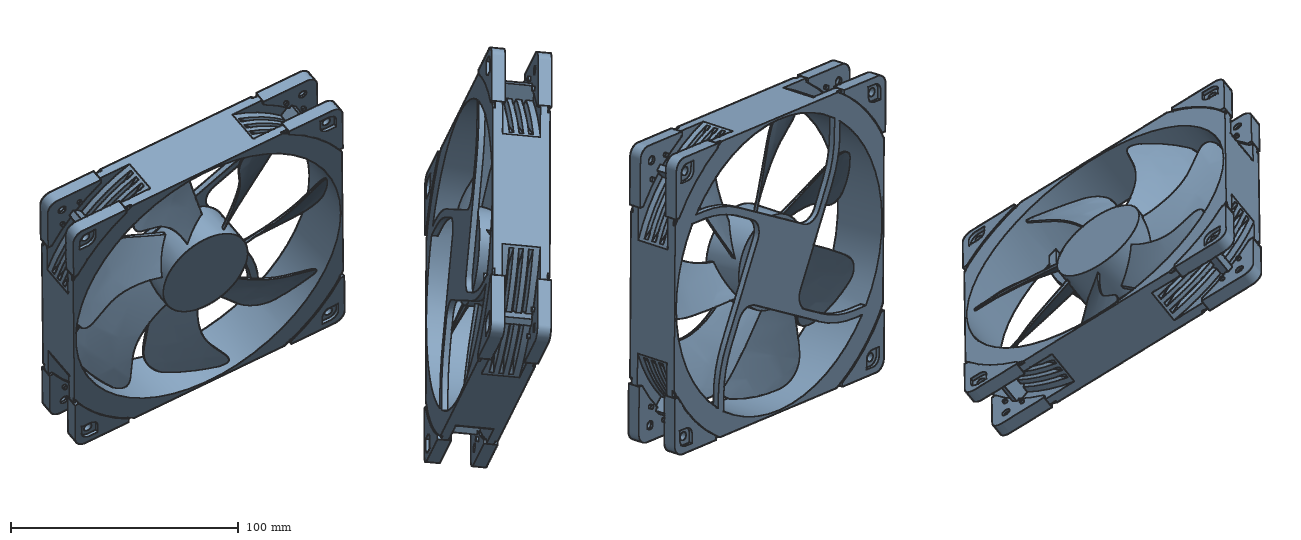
import cadquery as cq
import math

PART_TILT = 0.5
FRAME_HALF_DEPTH = 12.9
FRAME_HALF_SIDE = 70.0
BORE_RADIUS = 138.0 / 2

FLANGE_INNER_X = 8.5
DUCT_RADIUS = 75.0
GROOVE_COUNT = 3
GROOVE_PITCH = 4.4
GROOVE_WIDTH = 2.0
GROOVE_DEPTH = 2.8
GROOVE_END_DISTANCE = 69.1
WEB_END_RADIUS = 82.0
WEB_THICKNESS = 3.1

SPIDER_THICKNESS = 2.8
PLATE_HALF_SIDE = 20.0
PLATE_ANGLE = 25.4
SPOKE_OFFSET = 40.3
SPOKE_WIDTH = 3.7
SPOKE_END = 60.9
SPOKE_BEND_RADIUS = 53.8
NOTCH_RADIUS = 7.8

PAD_HALF_DEPTH = 27.0 / 2
PAD_HALF_SIDE = 70.2
PAD_START = 42.3
PAD_CORNER_RADIUS = 5.4
PAD_ARC_RADIUS = 80.3
PAD_INNER_X = 7.4
PAD_EDGE_WALL = 1.3
FLANGE_RECESS_X = 11.9
SCREW_OFFSET = 62.7
SCREW_DIAMETER = 4.0
EYE_SIDE = 8.4
STUD_SPACING = 8.9
STUD_DIAMETER = 2.0
STUD_LENGTH = 1.1

BLADE_COUNT = 7
HUB_RADIUS = 44.0 / 2
HUB_FRONT_X = -8.5
HUB_BACK_X = 10.6
BLADE_MID_X = 1.7
BLADE_SECTIONS = [
    (18.4, -4.5, 31.1, 40.0, 1.3),
    (42.5, -0.7, 42.5, 31.0, 1.0),
    (70.8, 5.7, 56.6, 20.0, 0.7),
]


def slab(x_start, x_end):
    """Workplane across the fan axis at x_start, with the thickness up to x_end."""
    return cq.Workplane("YZ").workplane(offset=x_start), x_end - x_start


def disc(radius, x_start, x_end):
    plane, depth = slab(x_start, x_end)
    return plane.circle(radius).extrude(depth)


def block(low, high, x_start, x_end):
    """Square block whose Y and Z both run from low to high."""
    plane, depth = slab(x_start, x_end)
    return plane.center((low + high) / 2, (low + high) / 2).rect(high - low, high - low).extrude(depth)


def about_axis(body, angle):
    return body.rotate((0, 0, 0), (1, 0, 0), angle)


def turn(point, angle):
    c = math.cos(math.radians(angle))
    s = math.sin(math.radians(angle))
    return (point[0] * c - point[1] * s, point[0] * s + point[1] * c)


def plate_line_z(y, inset):
    """Z on the line parallel to the plate side, moved inwards by inset, at a given Y."""
    c = math.cos(math.radians(PLATE_ANGLE))
    s = math.sin(math.radians(PLATE_ANGLE))
    return (-y * c - (PLATE_HALF_SIDE - inset)) / s


def spider_arm():
    """Corners and rounding radii of one quarter of the spider, as (point, radius)."""
    outer_y = -SPOKE_OFFSET
    inner_y = -SPOKE_OFFSET + SPOKE_WIDTH
    notch = turn((-PLATE_HALF_SIDE + SPOKE_WIDTH, PLATE_HALF_SIDE), PLATE_ANGLE)
    return [
        (notch, NOTCH_RADIUS),
        ((inner_y, plate_line_z(inner_y, SPOKE_WIDTH)), SPOKE_BEND_RADIUS - SPOKE_WIDTH),
        ((inner_y, SPOKE_END), 0),
        ((outer_y, SPOKE_END), 0),
        ((outer_y, plate_line_z(outer_y, 0)), SPOKE_BEND_RADIUS),
    ]


def rounded_outline(plane, corners):
    """Closed outline through the corners, with a tangent arc wherever a corner has a radius."""
    path = None
    for i, (corner, radius) in enumerate(corners):
        here = cq.Vector(*corner)
        back = (cq.Vector(*corners[i - 1][0]) - here).normalized()
        ahead = (cq.Vector(*corners[(i + 1) % len(corners)][0]) - here).normalized()
        half_angle = back.getAngle(ahead) / 2
        setback = radius / math.tan(half_angle)
        start = here + back * setback
        path = plane.moveTo(start.x, start.y) if path is None else path.lineTo(start.x, start.y)
        if radius:
            end = here + ahead * setback
            bisector = (back + ahead).normalized()
            middle = here + bisector * (radius / math.sin(half_angle) - radius)
            path = path.threePointArc((middle.x, middle.y), (end.x, end.y))
    return path.close()


def make_spider():
    corners = []
    for quarter in range(4):
        corners += [(turn(point, 90 * quarter), radius) for point, radius in spider_arm()]
    plane, depth = slab(-FRAME_HALF_DEPTH, -FRAME_HALF_DEPTH + SPIDER_THICKNESS)
    return rounded_outline(plane, corners).extrude(depth)


def make_groove(x):
    """Ring of V section in the outside of the duct, kept only near the four corners."""
    corners = [
        (x - GROOVE_WIDTH / 2, DUCT_RADIUS),
        (x, DUCT_RADIUS - GROOVE_DEPTH),
        (x + GROOVE_WIDTH / 2, DUCT_RADIUS),
    ]
    ring = cq.Workplane("XY").polyline(corners).close().revolve(360, (0, 0, 0), (1, 0, 0))
    plain_core = cq.Workplane("XY").box(2 * FLANGE_INNER_X, 2 * GROOVE_END_DISTANCE, 2 * GROOVE_END_DISTANCE)
    return ring.cut(about_axis(plain_core, 45))


def make_frame():
    depth = FRAME_HALF_DEPTH
    frame = cq.Workplane("XY").box(2 * depth, 2 * FRAME_HALF_SIDE, 2 * FRAME_HALF_SIDE)
    frame = frame.edges("|X").fillet(PAD_CORNER_RADIUS)
    duct = disc(DUCT_RADIUS, -depth, depth)
    for i in range(GROOVE_COUNT):
        duct = duct.cut(make_groove((i - (GROOVE_COUNT - 1) / 2) * GROOVE_PITCH))
    frame_side = 2 * FRAME_HALF_SIDE
    gap = cq.Workplane("XY").box(2 * FLANGE_INNER_X, frame_side, frame_side).cut(duct)
    web_span = 2 * WEB_END_RADIUS
    web = cq.Workplane("XY").box(2 * FLANGE_INNER_X, web_span, WEB_THICKNESS)
    for angle in (45, 135):
        gap = gap.cut(about_axis(web, angle))
    frame = frame.cut(gap)
    recess = cq.Workplane("XY").box(2 * depth, frame_side, frame_side).cut(disc(PAD_ARC_RADIUS, -depth, depth))
    recess = recess.cut(cq.Workplane("XY").box(2 * FLANGE_RECESS_X, frame_side, frame_side))
    frame = frame.cut(recess)
    frame = frame.cut(disc(BORE_RADIUS, -depth, depth)).union(make_spider())
    screws = slab(-depth, depth)
    holes = screws[0].rect(2 * SCREW_OFFSET, 2 * SCREW_OFFSET, forConstruction=True).vertices()
    return frame.cut(holes.circle(SCREW_DIAMETER / 2).extrude(screws[1]))


def make_pad():
    """Pad of the +X, +Y, +Z corner: a sleeve around the end of the flange."""
    pad = block(PAD_START, PAD_HALF_SIDE, PAD_INNER_X, PAD_HALF_DEPTH)
    pad = pad.edges("|X and >(0,1,1)").fillet(PAD_CORNER_RADIUS)
    pad = pad.cut(disc(PAD_ARC_RADIUS, PAD_INNER_X, PAD_HALF_DEPTH))
    flange = block(0, PAD_HALF_SIDE - PAD_EDGE_WALL, FLANGE_INNER_X, FLANGE_RECESS_X)
    flange = flange.edges("|X and >(0,1,1)").fillet(PAD_CORNER_RADIUS - PAD_EDGE_WALL)
    pad = pad.cut(flange)

    eye = disc(EYE_SIDE / 2, FLANGE_RECESS_X, PAD_HALF_DEPTH)
    eye_point = block(0, EYE_SIDE / 2, FLANGE_RECESS_X, PAD_HALF_DEPTH)
    for angle in (90, 270):
        eye = eye.union(about_axis(eye_point, angle))
    pad = pad.cut(eye.translate((0, SCREW_OFFSET, SCREW_OFFSET)))
    screw = disc(SCREW_DIAMETER / 2, PAD_INNER_X, PAD_HALF_DEPTH)
    pad = pad.cut(screw.translate((0, SCREW_OFFSET, SCREW_OFFSET)))

    stud = disc(STUD_DIAMETER / 2, PAD_INNER_X - STUD_LENGTH, FLANGE_INNER_X)
    stud_offset = SCREW_OFFSET - STUD_SPACING
    for y, z in ((stud_offset, SCREW_OFFSET), (SCREW_OFFSET, stud_offset)):
        pad = pad.union(stud.translate((0, y, z)))
    return pad


def make_pads():
    back_pad = make_pad()
    front_pad = back_pad.mirror("YZ")
    return [about_axis(pad, 90 * corner) for pad in (back_pad, front_pad) for corner in range(4)]


def blade_sheet():
    """Twisted sheet that is wider than the blade cut from it."""
    sections = []
    for y, z_middle, chord, pitch, thickness in BLADE_SECTIONS:
        plane = cq.Plane(origin=(BLADE_MID_X, y, z_middle), xDir=(0, 0, 1), normal=(0, 1, 0))
        outline = cq.Workplane(plane).transformed(rotate=(0, 0, pitch)).rect(chord, thickness)
        sections.append(outline.val())
    return cq.Workplane(cq.Solid.makeLoft([cq.Wire.assembleEdges(w.Edges()) for w in sections]))


def blade_outline():
    """Prism over the blade's outline across the fan axis."""
    plane, depth = slab(HUB_FRONT_X - 2.8, FRAME_HALF_DEPTH)
    upper = [(36.7, 6.7), (46.7, 12.5), (53.8, 20.2), (58.9, 24.5), (64.0, 22.0)]
    tip_middle = (67.8, 8.8)
    tip_end = (68.2, 1.4)
    lower = [(64.8, -7.0), (59.7, -10.0), (50.8, -11.5), (36.7, -11.9), (18.4, -11.9)]
    path = plane.moveTo(18.4, 2.3).spline(upper, includeCurrent=True)
    return path.threePointArc(tip_middle, tip_end).spline(lower, includeCurrent=True).close().extrude(depth)


def make_impeller():
    impeller = disc(HUB_RADIUS, HUB_FRONT_X, HUB_BACK_X)
    blade = blade_sheet().intersect(blade_outline())
    for i in range(BLADE_COUNT):
        impeller = impeller.union(about_axis(blade, 360 * i / BLADE_COUNT))
    return impeller


pads = make_pads()
frame = make_frame()
for pad in pads:
    frame = frame.cut(pad)
impeller = make_impeller()

bodies = [about_axis(body, PART_TILT).val() for body in [frame, impeller, *pads]]
result = cq.Compound.makeCompound(bodies)